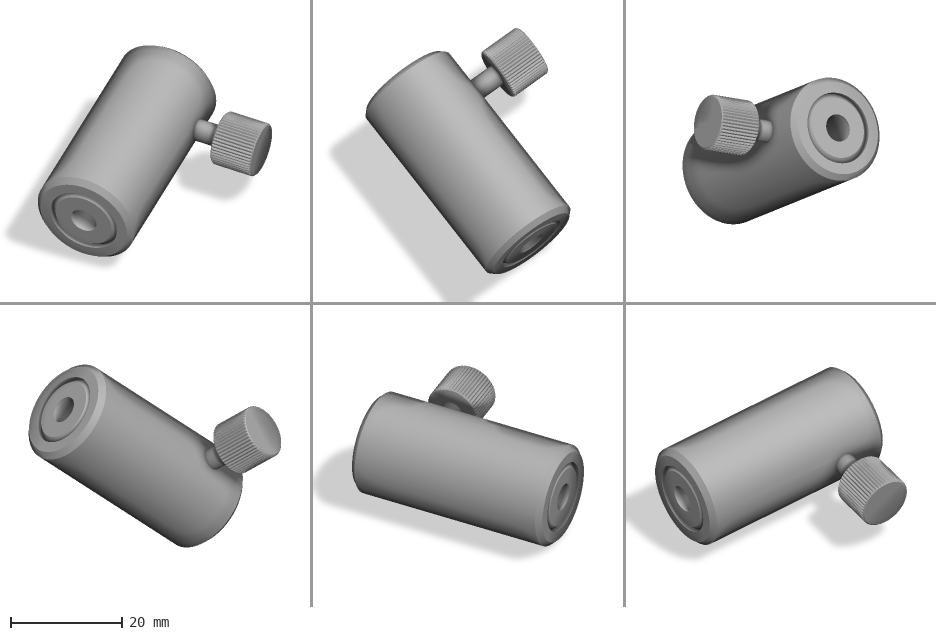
import cadquery as cq
import math


OVERALL_WIDTH = 31.5

COLLAR_LENGTH = 38.1
COLLAR_DIAMETER = 19.0
COLLAR_RADIUS = COLLAR_DIAMETER / 2
END_CHAMFER = 1.0

SLEEVE_RADIUS = 6.5
SLEEVE_BORE_RADIUS = 2.5

SCREW_Y = 10.05
STEM_DIAMETER = 4.0
STEM_RADIUS = STEM_DIAMETER / 2
KNOB_RADIUS = 5.0
KNOB_LENGTH = 7.95
KNOB_CHAMFER = 0.3
KNOB_END_X = OVERALL_WIDTH - COLLAR_RADIUS
KNOB_START_X = KNOB_END_X - KNOB_LENGTH

GROOVE_COUNT = 50
GROOVE_DEPTH = 0.248
GROOVE_WIDTH_SHARE = 0.8
GROOVE_PITCH = 360.0 / GROOVE_COUNT


def rod_along_y(radius):
    """Cylinder on the main axis, as long as the collar."""
    end_plane = cq.Workplane("XZ", origin=(0, COLLAR_LENGTH / 2, 0))
    return end_plane.circle(radius).extrude(COLLAR_LENGTH)


def rod_along_x(radius, start_x, end_x):
    """Cylinder on the screw axis between two X positions."""
    screw_plane = cq.Workplane("YZ", origin=(start_x, SCREW_Y, 0))
    return screw_plane.circle(radius).extrude(end_x - start_x)


def make_collar():
    """Chamfered tube with a radial hole for the screw stem."""
    body = rod_along_y(COLLAR_RADIUS).faces("<Y or >Y").chamfer(END_CHAMFER)
    stem_hole = rod_along_x(STEM_RADIUS, 0, COLLAR_RADIUS)
    return body.cut(rod_along_y(SLEEVE_RADIUS)).cut(stem_hole)


def make_sleeve():
    """Tube flush with the collar ends, chamfered on its outer edges."""
    body = rod_along_y(SLEEVE_RADIUS).faces("<Y or >Y").chamfer(END_CHAMFER)
    return body.cut(rod_along_y(SLEEVE_BORE_RADIUS))


def polar_point(radius, angle_degrees):
    """Section point at a radius and angle from the screw axis."""
    angle = math.radians(angle_degrees)
    return radius * math.cos(angle), radius * math.sin(angle)


def knurl_outline():
    """Closed knob section: flat-topped teeth separated by V grooves."""
    half_groove = GROOVE_WIDTH_SHARE * GROOVE_PITCH / 2
    points = []
    for index in range(GROOVE_COUNT):
        center = index * GROOVE_PITCH
        points.append(polar_point(KNOB_RADIUS, center - half_groove))
        points.append(polar_point(KNOB_RADIUS - GROOVE_DEPTH, center))
        points.append(polar_point(KNOB_RADIUS, center + half_groove))
    return points


def make_screw():
    """Knurled knob and plain stem whose flat tip rests on the sleeve."""
    blank = rod_along_x(KNOB_RADIUS, KNOB_START_X, KNOB_END_X).edges().chamfer(KNOB_CHAMFER)
    knob_plane = cq.Workplane("YZ", origin=(KNOB_START_X, SCREW_Y, 0))
    knurl = knob_plane.polyline(knurl_outline()).close().extrude(KNOB_LENGTH)
    stem = rod_along_x(STEM_RADIUS, SLEEVE_RADIUS, KNOB_START_X)
    return blank.intersect(knurl).union(stem)


collar = make_collar()
sleeve = make_sleeve()
screw = make_screw()

result = cq.Compound.makeCompound(
    [collar.solids().val(), sleeve.solids().val(), screw.solids().val()]
)